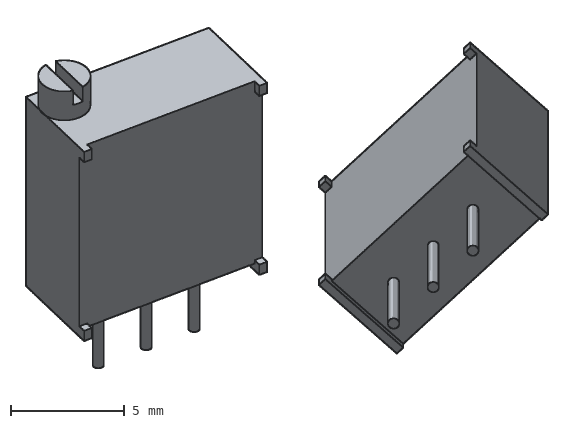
import cadquery as cq


total_height = 15.68
housing_height = 10.38
screw_height = 1.58
pin_drop = total_height - housing_height - screw_height

housing_depth = 4.8
housing_width = 9.52
tab_thickness = 0.39
tab_height = 0.56
wall_width = 0.4
foot_height = 0.38

screw_diameter = 2.3
screw_inset = 1.4
screw_overhang = 0.03
slot_width = 0.5
slot_depth = 0.78

pin_diameter = 0.5
pin_pitch = 2.5
pin_count = 3
pin_row_y = -0.02


def make_housing():
    """Block with two feet along X and four corner tabs on the +X side."""
    core_depth = housing_depth - tab_thickness
    gap_width = housing_width - 2 * wall_width
    upright = (False, True, False)
    block = (
        cq.Workplane("XY")
        .box(housing_depth, housing_width, housing_height, centered=upright)
        .translate((-housing_depth / 2, 0, 0))
    )
    core_front = core_depth - housing_depth / 2

    foot_gap = cq.Workplane("XY").box(
        housing_depth, gap_width, foot_height, centered=(True, True, False)
    )
    upright_recess = (
        cq.Workplane("XY")
        .box(tab_thickness, gap_width, housing_height, centered=upright)
        .translate((core_front, 0, 0))
    )
    level_recess = (
        cq.Workplane("XY")
        .box(tab_thickness, housing_width, housing_height - 2 * tab_height, centered=upright)
        .translate((core_front, 0, tab_height))
    )
    return block.cut(foot_gap).cut(upright_recess).cut(level_recess)


def make_screw():
    """Round head standing on the housing, with a screwdriver slot along X."""
    axis_x = screw_inset - housing_depth / 2
    axis_y = screw_diameter / 2 - housing_width / 2 - screw_overhang
    head = cq.Workplane("XY").circle(screw_diameter / 2).extrude(screw_height)
    slot = (
        cq.Workplane("XY")
        .box(screw_diameter, slot_width, slot_depth, centered=(True, True, False))
        .translate((0, 0, screw_height - slot_depth))
    )
    return head.cut(slot).translate((axis_x, axis_y, housing_height))


def make_pin(y):
    """Straight round pin from the floor between the feet down to its tip."""
    return (
        cq.Workplane("XY", origin=(0, y, -pin_drop))
        .circle(pin_diameter / 2)
        .extrude(pin_drop + foot_height)
    )


housing = make_housing()
screw = make_screw()
pins = []
for index in range(pin_count):
    pin_y = pin_row_y + (index - (pin_count - 1) / 2) * pin_pitch
    pins.append(make_pin(pin_y))

result = cq.Compound.makeCompound([housing.val(), screw.val(), *[pin.val() for pin in pins]])